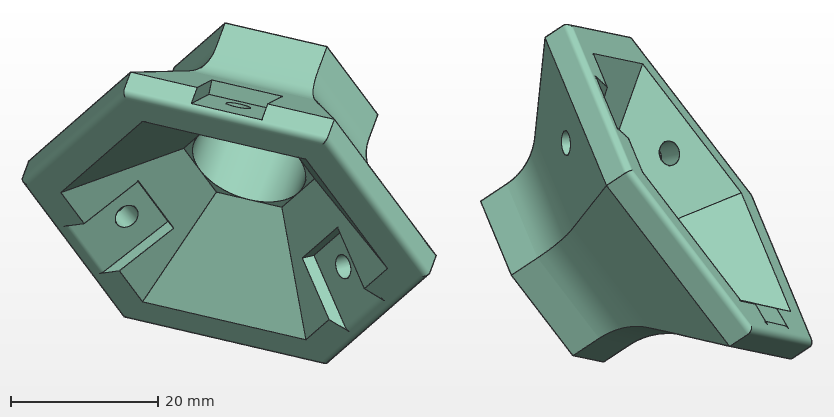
import cadquery as cq
import math

across_corners = 57.75
flange_apothem = across_corners / 2 * math.cos(math.radians(30))
neck_apothem = flange_apothem / 2
total_depth = flange_apothem
rim_thickness = 4.0
rim_fillet = 1.0
neck_blend_radius = 10.0

mouth_apothem = 20.05
bore_radius = 8.0
funnel_depth = mouth_apothem - bore_radius

pocket_width = 10.0
pocket_depth = 2.0
outer_pocket_end_apothem = 17.95
inner_pocket_end_apothem = 13.4
hole_radius = 1.7
hole_axis_apothem = 12.5

outer_pocket_angle = 0
inner_pocket_angles = (120, 240)
hole_angles = (outer_pocket_angle, *inner_pocket_angles)

slope = math.sqrt(0.5)
overcut = 11.55


def hexagon(apothem, y):
    """Hexagon wire across the Y axis, with corners on +X and -X."""
    corner_radius = apothem / math.cos(math.radians(30))
    angles = [math.radians(60 * i) for i in range(6)]
    points = [
        cq.Vector(corner_radius * math.cos(angle), y, corner_radius * math.sin(angle))
        for angle in angles
    ]
    return cq.Wire.makePolygon(points, close=True)


def around_y(shape, angle):
    return shape.rotate((0, 0, 0), (0, 1, 0), angle)


def make_flank():
    """Long bar whose top carries the profile of one side: rim, cone, blend and neck."""
    blend_setback = neck_blend_radius * math.tan(math.radians(22.5))
    bend_y = rim_thickness + flange_apothem - neck_apothem
    cone_end = (bend_y - blend_setback * slope, neck_apothem + blend_setback * slope)
    neck_start = (bend_y + blend_setback, neck_apothem)
    arc_middle = (
        neck_start[0] - neck_blend_radius * math.sin(math.radians(22.5)),
        neck_apothem + neck_blend_radius * (1 - math.cos(math.radians(22.5))),
    )
    rim_arc_middle = (rim_fillet * (1 - slope), flange_apothem - rim_fillet * (1 - slope))
    profile = (
        cq.Workplane("YZ")
        .moveTo(0, -across_corners)
        .lineTo(0, flange_apothem - rim_fillet)
        .threePointArc(rim_arc_middle, (rim_fillet, flange_apothem))
        .lineTo(rim_thickness, flange_apothem)
        .lineTo(*cone_end)
        .threePointArc(arc_middle, neck_start)
        .lineTo(total_depth, neck_apothem)
        .lineTo(total_depth, -across_corners)
        .close()
    )
    return profile.extrude(across_corners, both=True)


def make_body():
    """The common volume of six equal flanks is the hexagonal outside."""
    flank = make_flank()
    body = flank
    for i in range(1, 6):
        body = body.intersect(around_y(flank, 60 * i))
    return body


def make_hollow():
    ends = [hexagon(mouth_apothem, 0), hexagon(bore_radius, funnel_depth)]
    funnel = cq.Workplane(cq.Solid.makeLoft(ends, True))
    bore = cq.Workplane("XZ").circle(bore_radius).extrude(-total_depth)
    return funnel.union(bore)


def make_outer_pocket():
    """Open through the rim; its inner end is square to the sloping floor."""
    end_y = rim_thickness + flange_apothem - outer_pocket_end_apothem
    floor_y = end_y - pocket_depth * slope
    floor_z = outer_pocket_end_apothem - pocket_depth * slope
    profile = (
        cq.Workplane("YZ")
        .moveTo(floor_y, floor_z)
        .lineTo(floor_y + overcut, floor_z + overcut)
        .lineTo(floor_y, floor_z + 2 * overcut)
        .lineTo(floor_y - overcut, floor_z + overcut)
        .close()
    )
    return profile.extrude(pocket_width / 2, both=True)


def make_inner_pocket():
    """Open to the mouth, with a rounded lip where the sloping floor meets the rim face."""
    end_y = mouth_apothem - inner_pocket_end_apothem
    floor_y = end_y + pocket_depth * slope
    floor_z = inner_pocket_end_apothem + pocket_depth * slope
    lip_setback = rim_fillet * math.tan(math.radians(22.5))
    lip_z = floor_y + floor_z + lip_setback
    lip_arc_middle = (
        rim_fillet * (1 - math.cos(math.radians(22.5))),
        lip_z - rim_fillet * math.sin(math.radians(22.5)),
    )
    profile = (
        cq.Workplane("YZ")
        .moveTo(floor_y, floor_z)
        .lineTo(lip_setback * slope, floor_y + floor_z - lip_setback * slope)
        .threePointArc(lip_arc_middle, (0, lip_z))
        .lineTo(-overcut, lip_z)
        .lineTo(floor_y - overcut, floor_z - overcut)
        .close()
    )
    return profile.extrude(pocket_width / 2, both=True)


def make_hole():
    """Screw hole through the top flank, starting on the plane of the rim face."""
    start = cq.Vector(0, 0, hole_axis_apothem)
    direction = cq.Vector(0, 1, 1)
    return cq.Workplane(cq.Solid.makeCylinder(hole_radius, total_depth, start, direction))


result = make_body().cut(make_hollow())
result = result.cut(around_y(make_outer_pocket(), outer_pocket_angle))
for angle in inner_pocket_angles:
    result = result.cut(around_y(make_inner_pocket(), angle))
for angle in hole_angles:
    result = result.cut(around_y(make_hole(), angle))